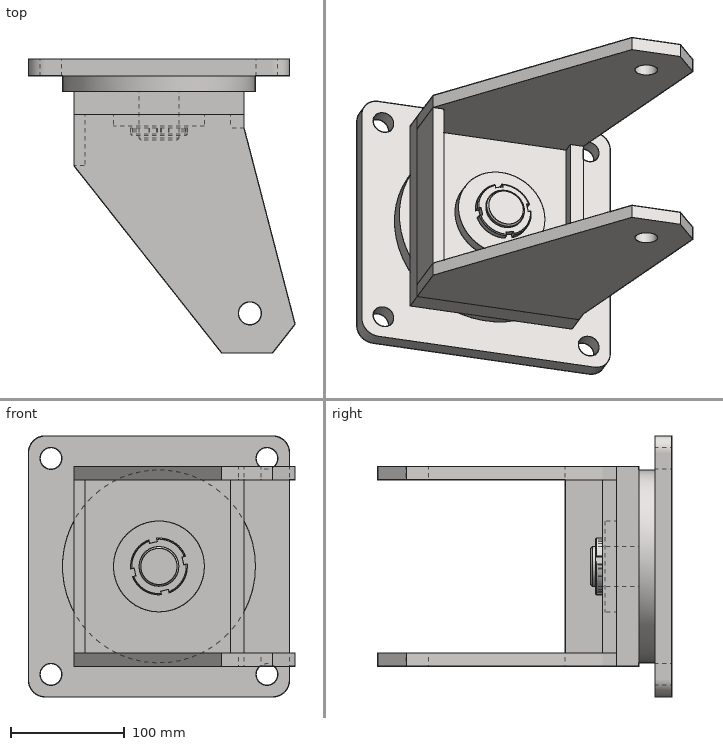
import cadquery as cq


FLANGE_SIZE = 230.0
FLANGE_THICKNESS = 15.0
FLANGE_CORNER_RADIUS = 15.0
BOLT_SPACING = 190.0
BOLT_HOLE_DIAMETER = 19.0
DISC_DIAMETER = 170.0
DISC_THICKNESS = 14.0
SPINDLE_DIAMETER = 35.0
SPINDLE_CHAMFER = 1.5
SPINDLE_PROTRUSION = 4.1

YOKE_WIDTH = 150.0
YOKE_HEIGHT = 176.0
BACK_PLATE_THICKNESS = 20.0
BOSS_DIAMETER = 80.0
BOSS_HEIGHT = 10.0
ARM_THICKNESS = 12.0
LEFT_WEB_WIDTH = 10.0
LEFT_WEB_DEPTH = 45.0
RIGHT_WEB_WIDTH = 12.0
RIGHT_WEB_DEPTH = 12.0
OVERALL_LENGTH = 259.0
ARM_TIP_X = 120.0
ARM_TIP_CORNER = 25.5
ARM_END_LEFT_X = 55.2
ARM_END_RIGHT_X = 100.0
AXLE_HOLE_DIAMETER = 20.0
AXLE_HOLE_X = 80.0
AXLE_HOLE_FROM_END = 35.0

NUT_DIAMETER = 50.0
NUT_THICKNESS = 6.2
NUT_GAP = 2.0
NUT_CHAMFER = 1.0
NUT_SLOT_COUNT = 4
NUT_SLOT_WIDTH = 7.0
NUT_SLOT_DEPTH = 3.4
NUT_SLOT_ANGLE = 13.0

DISC_BACK_Y = -FLANGE_THICKNESS
YOKE_BACK_Y = DISC_BACK_Y - DISC_THICKNESS
YOKE_FRONT_Y = YOKE_BACK_Y - BACK_PLATE_THICKNESS
BOSS_FRONT_Y = YOKE_FRONT_Y - BOSS_HEIGHT
NUT_BACK_Y = BOSS_FRONT_Y - NUT_GAP
NUT_FRONT_Y = NUT_BACK_Y - NUT_THICKNESS
SPINDLE_END_Y = NUT_FRONT_Y - SPINDLE_PROTRUSION
ARM_END_Y = -OVERALL_LENGTH

HALF_WIDTH = YOKE_WIDTH / 2
INNER_HEIGHT = YOKE_HEIGHT - 2 * ARM_THICKNESS


def facing_front(y):
    """Workplane at the given Y with its normal towards -Y, local x = +X and local y = +Z."""
    return cq.Workplane("XZ", origin=(0, y, 0))


def make_base():
    flange = (
        facing_front(0)
        .rect(FLANGE_SIZE, FLANGE_SIZE)
        .extrude(FLANGE_THICKNESS)
        .edges("|Y")
        .fillet(FLANGE_CORNER_RADIUS)
    )
    bolt_holes = (
        facing_front(0)
        .rect(BOLT_SPACING, BOLT_SPACING, forConstruction=True)
        .vertices()
        .circle(BOLT_HOLE_DIAMETER / 2)
        .extrude(FLANGE_THICKNESS)
    )
    disc = facing_front(DISC_BACK_Y).circle(DISC_DIAMETER / 2).extrude(DISC_THICKNESS)
    spindle = (
        facing_front(YOKE_BACK_Y)
        .circle(SPINDLE_DIAMETER / 2)
        .extrude(YOKE_BACK_Y - SPINDLE_END_Y)
        .faces("<Y")
        .chamfer(SPINDLE_CHAMFER)
    )
    return flange.cut(bolt_holes).union(disc).union(spindle)


def make_back_plate():
    plate = facing_front(YOKE_BACK_Y).rect(YOKE_WIDTH, YOKE_HEIGHT).extrude(BACK_PLATE_THICKNESS)
    boss = facing_front(YOKE_FRONT_Y).circle(BOSS_DIAMETER / 2).extrude(BOSS_HEIGHT)
    spindle_hole = (
        facing_front(YOKE_BACK_Y)
        .circle(SPINDLE_DIAMETER / 2)
        .extrude(BACK_PLATE_THICKNESS + BOSS_HEIGHT)
    )
    return plate.union(boss).cut(spindle_hole)


def make_arm(bottom_z):
    """Fork arm whose lower face lies at the given height."""
    outline = [
        (-HALF_WIDTH, YOKE_FRONT_Y),
        (HALF_WIDTH, YOKE_FRONT_Y),
        (HALF_WIDTH, YOKE_FRONT_Y - RIGHT_WEB_DEPTH),
        (ARM_TIP_X, ARM_END_Y + ARM_TIP_CORNER),
        (ARM_END_RIGHT_X, ARM_END_Y),
        (ARM_END_LEFT_X, ARM_END_Y),
        (-HALF_WIDTH, YOKE_FRONT_Y - LEFT_WEB_DEPTH),
    ]
    arm_plane = cq.Workplane("XY", origin=(0, 0, bottom_z))
    axle_hole = (
        arm_plane.center(AXLE_HOLE_X, ARM_END_Y + AXLE_HOLE_FROM_END)
        .circle(AXLE_HOLE_DIAMETER / 2)
        .extrude(ARM_THICKNESS)
    )
    return arm_plane.polyline(outline).close().extrude(ARM_THICKNESS).cut(axle_hole)


def make_web(center_x, width, depth):
    """Upright bar between the arms, standing on the front of the back plate."""
    return facing_front(YOKE_FRONT_Y).center(center_x, 0).rect(width, INNER_HEIGHT).extrude(depth)


def make_nut():
    nut = (
        facing_front(NUT_BACK_Y)
        .circle(NUT_DIAMETER / 2)
        .extrude(NUT_THICKNESS)
        .faces("<Y")
        .chamfer(NUT_CHAMFER)
    )
    bore = facing_front(NUT_BACK_Y).circle(SPINDLE_DIAMETER / 2).extrude(NUT_THICKNESS)
    nut = nut.cut(bore)
    slot = (
        facing_front(NUT_BACK_Y)
        .center(0, NUT_DIAMETER / 2)
        .rect(NUT_SLOT_WIDTH, 2 * NUT_SLOT_DEPTH)
        .extrude(NUT_THICKNESS)
    )
    for index in range(NUT_SLOT_COUNT):
        angle = NUT_SLOT_ANGLE + index * 360 / NUT_SLOT_COUNT
        nut = nut.cut(slot.rotate((0, 0, 0), (0, -1, 0), angle))
    return nut


base = make_base()
back_plate = make_back_plate()
arms = [make_arm(bottom_z) for bottom_z in (-YOKE_HEIGHT / 2, INNER_HEIGHT / 2)]
left_web = make_web(-HALF_WIDTH + LEFT_WEB_WIDTH / 2, LEFT_WEB_WIDTH, LEFT_WEB_DEPTH)
right_web = make_web(HALF_WIDTH - RIGHT_WEB_WIDTH / 2, RIGHT_WEB_WIDTH, RIGHT_WEB_DEPTH)
nut = make_nut()

result = cq.Compound.makeCompound(
    [
        base.val(),
        back_plate.val(),
        *[arm.val() for arm in arms],
        left_web.val(),
        right_web.val(),
        nut.val(),
    ]
)